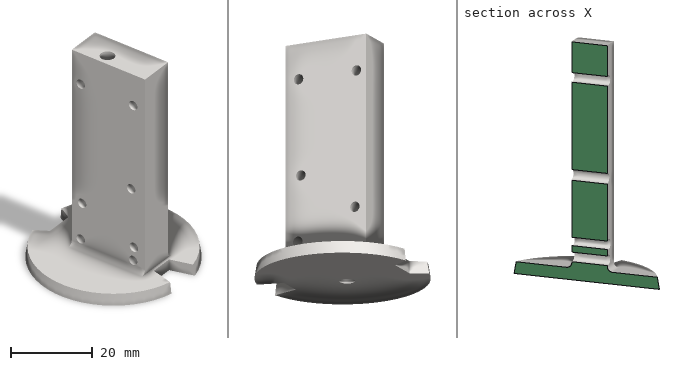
import cadquery as cq
import math

disc_diameter = 43.15
disc_top_diameter = 42.1
disc_height = 3.15

left_floor_x = -16.55
left_half_width = 3.8
left_flare = 30
left_center_y = 0
right_floor_x = 14.4
right_half_width = 3.15
right_flare = 15
right_center_y = 0.25

total_height = 60.3
column_left = -8.6
column_width = 22.25
column_front = -5.5
column_depth = 9.55
column_back = column_front + column_depth
foot_fillet = 1.3

bore_diameter = 3.85
bore_y = -2.5

cross_hole_diameter = 2.6
corner_left_x = -5.9
corner_right_x = 10.0
corner_low_z = 5.85
corner_high_z = 51.3
cross_holes = [
    (corner_left_x, corner_low_z),
    (corner_right_x, corner_low_z),
    (corner_left_x, corner_high_z),
    (corner_right_x, corner_high_z),
    (-5.5, 16.5),
    (9.4, 26.6),
    (10.25, 9.8),
]


def make_disc():
    return (
        cq.Workplane("XY")
        .circle(disc_diameter / 2)
        .workplane(offset=disc_height)
        .circle(disc_top_diameter / 2)
        .loft(ruled=True)
    )


def make_notch(floor_x, half_width, flare, center_y):
    """Flared cutter running outward from its floor, away from the Z axis."""
    mouth_x = math.copysign(disc_diameter, floor_x)
    reach = abs(mouth_x - floor_x)
    mouth_half_width = half_width + reach * math.tan(math.radians(flare))
    return (
        cq.Workplane("XY")
        .moveTo(floor_x, center_y - half_width)
        .lineTo(mouth_x, center_y - mouth_half_width)
        .lineTo(mouth_x, center_y + mouth_half_width)
        .lineTo(floor_x, center_y + half_width)
        .close()
        .extrude(disc_height)
    )


def make_column():
    """Column with concave fillets along its front and back feet."""
    arc_offset = foot_fillet * (1 - math.sqrt(0.5))
    return (
        cq.Workplane("YZ", origin=(column_left, 0, 0))
        .moveTo(column_front - foot_fillet, disc_height)
        .threePointArc(
            (column_front - arc_offset, disc_height + arc_offset),
            (column_front, disc_height + foot_fillet),
        )
        .lineTo(column_front, total_height)
        .lineTo(column_back, total_height)
        .lineTo(column_back, disc_height + foot_fillet)
        .threePointArc(
            (column_back + arc_offset, disc_height + arc_offset),
            (column_back + foot_fillet, disc_height),
        )
        .close()
        .extrude(column_width)
    )


def make_cross_holes():
    length = column_depth + 2 * foot_fillet
    return (
        cq.Workplane("XZ", origin=(0, column_back + foot_fillet, 0))
        .pushPoints(cross_holes)
        .circle(cross_hole_diameter / 2)
        .extrude(length)
    )


bore = cq.Workplane("XY").center(0, bore_y).circle(bore_diameter / 2).extrude(total_height)

result = (
    make_disc()
    .cut(make_notch(left_floor_x, left_half_width, left_flare, left_center_y))
    .cut(make_notch(right_floor_x, right_half_width, right_flare, right_center_y))
    .union(make_column())
    .cut(make_cross_holes())
    .cut(bore)
)